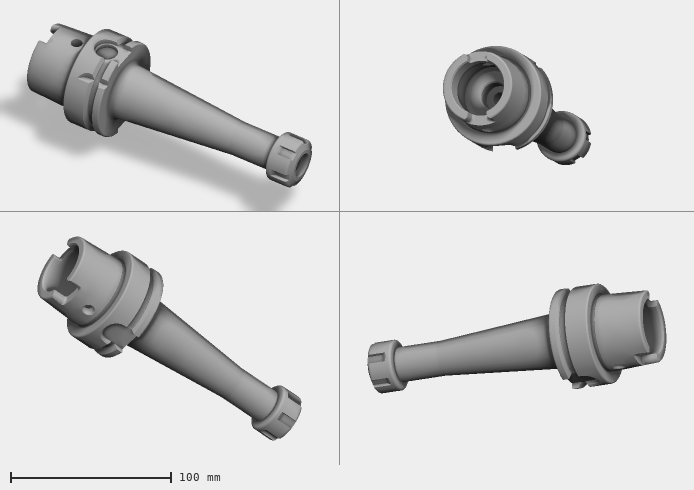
import cadquery as cq
import math


shank_length = 32.0
shank_end_radius = 22.7
taper_slope = 1 / 20
shank_end_round = 1.3
relief_length = 2.0
relief_depth = 0.5
relief_corner_round = 0.4
face_relief_radius = 25.2
face_relief_depth = 0.5

flange_radius = 31.5
flange_width = 26.0
flange_round = 1.1
groove_center = 18.05
groove_mouth_half = 3.4
groove_floor_half = 1.75
groove_floor_radius = 27.5
groove_wall_top_radius = 28.6
groove_corner_round = 0.5

arbor_root_radius = 17.8
arbor_root_round = 2.7
arbor_radius = 11.0
cone_end = 109.1
cone_blend_radius = 15.0
overall_end = 155.58

bore_mouth_radius = 17.7
bore_mouth_depth = 1.2
bore_lip_radius = 17.0
bore_lip_depth = 12.6
bore_radius = 18.0
bore_floor_radius = 15.7
bore_depth = 34.0
tube_seat_radius = 8.4
tube_seat_chamfer = 0.9
tube_seat_depth = 12.0
through_radius = 4.2
through_chamfer = 0.5
cross_hole_radius = 3.6
cross_hole_chamfer = 0.6
cross_hole_x = 22.8 - shank_length

drive_slot_half = 6.27
drive_slot_depths = {1: 6.0, -1: 9.9}
drive_slot_flare_start = 18.0
drive_slot_flare_radius = 3.0
drive_slot_floor_round = 1.6

pocket_center_x = 13.0
keyway_half = 8.0
keyway_floor = 26.5
keyway_chamfer = 1.15
chip_pocket_radius = 6.85
chip_pocket_depth = 2.7
notch_offset = 20.1
notch_cutter_radius = 8.0

nut_length = 17.5
nut_radius = 16.0
nut_back_round = 1.7
nut_front_round = 2.0
nut_front_round_start = 13.9
nut_front_turn = math.radians(60)
nut_face_radius = 10.5
nut_opening_radius = 8.0
nut_lip = 5.0
nut_slot_count = 6
nut_slot_floor_width = 5.1
nut_slot_mouth_width = 5.9
nut_slot_floor = 13.5
nut_slot_start = 3.4
nut_slot_ramp = 2.9
neck_width = 0.8
neck_radius = 9.7

nut_start = overall_end - nut_length
nut_bore_end = overall_end - nut_lip
clearance = 5.0
margin = 0.1


def revolve_about_x(profile):
    return profile.close().revolve(360, (0, 0, 0), (1, 0, 0))


def turned_body():
    """Outside of the holder as one turned solid."""
    relief_start_radius = shank_end_radius + taper_slope * (shank_length - relief_length)
    relief_radius = relief_start_radius - relief_depth
    groove_left = groove_center - groove_floor_half
    groove_right = groove_center + groove_floor_half

    cone_start = flange_width + arbor_root_round
    cone_angle = math.atan((arbor_root_radius - arbor_radius) / (cone_end - cone_start))
    tangent = cone_blend_radius * math.tan(cone_angle / 2)
    blend_start = (cone_end - tangent * math.cos(cone_angle), arbor_radius + tangent * math.sin(cone_angle))

    profile = (
        cq.Workplane("XY")
        .moveTo(-shank_length, 0)
        .lineTo(-shank_length, shank_end_radius - shank_end_round)
        .radiusArc((-shank_length + shank_end_round, shank_end_radius + taper_slope * shank_end_round),
                   shank_end_round)
        .lineTo(-relief_length, relief_start_radius)
        .lineTo(-relief_length + relief_depth, relief_radius)
        .lineTo(face_relief_depth - relief_corner_round, relief_radius)
        .radiusArc((face_relief_depth, relief_radius + relief_corner_round), -relief_corner_round)
        .lineTo(face_relief_depth, face_relief_radius - face_relief_depth)
        .lineTo(0, face_relief_radius)
        .lineTo(0, flange_radius - flange_round)
        .radiusArc((flange_round, flange_radius), flange_round)
        .lineTo(groove_center - groove_mouth_half, flange_radius)
        .lineTo(groove_left, groove_wall_top_radius)
        .lineTo(groove_left, groove_floor_radius + groove_corner_round)
        .radiusArc((groove_left + groove_corner_round, groove_floor_radius), -groove_corner_round)
        .lineTo(groove_right - groove_corner_round, groove_floor_radius)
        .radiusArc((groove_right, groove_floor_radius + groove_corner_round), -groove_corner_round)
        .lineTo(groove_right, groove_wall_top_radius)
        .lineTo(groove_center + groove_mouth_half, flange_radius)
        .lineTo(flange_width - flange_round, flange_radius)
        .radiusArc((flange_width, flange_radius - flange_round), flange_round)
        .lineTo(flange_width, arbor_root_radius + arbor_root_round)
        .radiusArc((cone_start, arbor_root_radius), -arbor_root_round)
        .lineTo(*blend_start)
        .radiusArc((cone_end + tangent, arbor_radius), -cone_blend_radius)
        .lineTo(nut_start - neck_width, arbor_radius)
        .lineTo(nut_start - neck_width, neck_radius)
        .lineTo(nut_start, neck_radius)
        .lineTo(nut_start, arbor_radius)
        .lineTo(nut_bore_end, arbor_radius)
        .lineTo(nut_bore_end, 0)
    )
    return revolve_about_x(profile)


def axial_bore():
    """Hollow of the shank, coolant tube seat and the through hole."""
    bore_floor = bore_depth - shank_length
    seat_floor = bore_floor + tube_seat_depth
    profile = (
        cq.Workplane("XY")
        .moveTo(-shank_length, 0)
        .lineTo(-shank_length, bore_mouth_radius)
        .lineTo(-shank_length + bore_mouth_depth, bore_lip_radius)
        .lineTo(-shank_length + bore_lip_depth, bore_lip_radius)
        .lineTo(-shank_length + bore_lip_depth, bore_radius)
        .lineTo(bore_floor - (bore_radius - bore_floor_radius), bore_radius)
        .lineTo(bore_floor, bore_floor_radius)
        .lineTo(bore_floor, tube_seat_radius + tube_seat_chamfer)
        .lineTo(bore_floor + tube_seat_chamfer, tube_seat_radius)
        .lineTo(seat_floor, tube_seat_radius)
        .lineTo(seat_floor, through_radius + through_chamfer)
        .lineTo(seat_floor + through_chamfer, through_radius)
        .lineTo(nut_bore_end, through_radius)
        .lineTo(nut_bore_end, 0)
    )
    return revolve_about_x(profile)


def cross_hole(side):
    """Hole through the shank wall on one Z side, with a countersunk mouth."""
    surface = shank_end_radius + taper_slope * (cross_hole_x + shank_length)
    hole = cq.Workplane("XY").center(cross_hole_x, 0).circle(cross_hole_radius).extrude(side * flange_radius)
    mouth = (
        cq.Workplane("XY", origin=(cross_hole_x, 0, side * (surface - cross_hole_chamfer)))
        .circle(cross_hole_radius)
        .workplane(offset=side * 2 * cross_hole_chamfer)
        .circle(cross_hole_radius + 2 * cross_hole_chamfer)
        .loft()
    )
    return hole.union(mouth)


def drive_slot(side):
    """Open slot in the shank end whose walls round outward near the outside."""
    depth = drive_slot_depths[side]
    flare_half = drive_slot_half + drive_slot_flare_radius
    flare_height = drive_slot_flare_start + drive_slot_flare_radius
    top = flare_height + clearance
    slot = (
        cq.Workplane("YZ", origin=(-shank_length - clearance, 0, 0))
        .moveTo(-drive_slot_half, 0)
        .lineTo(-drive_slot_half, drive_slot_flare_start)
        .radiusArc((-flare_half, flare_height), -drive_slot_flare_radius)
        .lineTo(-flare_half, top)
        .lineTo(flare_half, top)
        .lineTo(flare_half, flare_height)
        .radiusArc((drive_slot_half, drive_slot_flare_start), -drive_slot_flare_radius)
        .lineTo(drive_slot_half, 0)
        .close()
        .extrude(depth + clearance)
    )
    floor_sides = cq.selectors.BoxSelector(
        (-shank_length + depth - margin, -flare_half, margin),
        (-shank_length + depth + margin, flare_half, flare_height - margin),
    )
    slot = slot.edges(floor_sides).fillet(drive_slot_floor_round)
    if side < 0:
        slot = slot.mirror("XY")
    return slot


def keyway(side):
    """Round-ended flat keyway across the flange, open toward the arbor."""
    length = flange_width - pocket_center_x + clearance
    floor = cq.Workplane("XY", origin=(pocket_center_x, 0, side * keyway_floor))
    height = side * (flange_radius - keyway_floor + clearance)
    round_end = floor.circle(keyway_half).extrude(height)
    straight = floor.center(length / 2, 0).rect(length, 2 * keyway_half).extrude(height)
    return round_end.union(straight)


def chamfer_keyway_end(body, side):
    """Bevel the rim of the keyway where it runs into the wide part of the flange."""
    heights = sorted((side * groove_wall_top_radius, side * (flange_radius + margin)))
    rim = cq.selectors.BoxSelector(
        (pocket_center_x - keyway_half - margin, -keyway_half - margin, heights[0]),
        (groove_center - groove_mouth_half - margin, keyway_half + margin, heights[1]),
    )
    return body.edges(rim).chamfer(keyway_chamfer)


def chip_pocket():
    return (
        cq.Workplane("XY", origin=(pocket_center_x, 0, keyway_floor - chip_pocket_depth))
        .circle(chip_pocket_radius)
        .extrude(chip_pocket_depth + clearance)
    )


def orientation_notch():
    """L-shaped notch on the -Y +Z quarter of the flange, ended by the round of its cutter."""
    path_y = -notch_offset - notch_cutter_radius
    length = flange_width - pocket_center_x + clearance
    plane = cq.Workplane("XY", origin=(pocket_center_x, path_y, notch_offset))
    round_end = plane.circle(notch_cutter_radius).extrude(flange_radius)
    straight = plane.center(length / 2, 0).rect(length, 2 * notch_cutter_radius).extrude(flange_radius)
    return round_end.union(straight)


def make_holder():
    body = turned_body()
    for side in (1, -1):
        body = body.cut(keyway(side))
        body = chamfer_keyway_end(body, side)
    body = body.cut(chip_pocket()).cut(orientation_notch()).cut(axial_bore())
    for side in (1, -1):
        body = body.cut(drive_slot(side)).cut(cross_hole(side))
    return body


def nut_slot():
    """Wrench slot on the -Y side: leaning walls, and a ramp from the outside to a flat floor."""
    depth = nut_radius - nut_slot_floor
    start = nut_start + nut_slot_start
    side_outline = (
        cq.Workplane("XY")
        .moveTo(start, -nut_radius)
        .lineTo(start + nut_slot_ramp, -nut_slot_floor)
        .lineTo(overall_end, -nut_slot_floor)
        .lineTo(overall_end, -nut_radius)
        .close()
        .extrude(nut_slot_mouth_width, both=True)
    )
    cross_section = (
        cq.Workplane("XZ", origin=(start, -nut_slot_floor, 0))
        .center(nut_length / 2, 0)
        .rect(nut_length, nut_slot_floor_width)
        .workplane(offset=depth)
        .rect(nut_length, nut_slot_mouth_width)
        .loft()
    )
    return side_outline.intersect(cross_section)


def make_nut():
    """Slotted clamping nut around the spigot, with a lip closing over its end."""
    round_end = (
        nut_start + nut_front_round_start + nut_front_round * math.sin(nut_front_turn),
        nut_radius - nut_front_round * (1 - math.cos(nut_front_turn)),
    )
    profile = (
        cq.Workplane("XY")
        .moveTo(nut_start, arbor_radius)
        .lineTo(nut_start, nut_radius - nut_back_round)
        .radiusArc((nut_start + nut_back_round, nut_radius), nut_back_round)
        .lineTo(nut_start + nut_front_round_start, nut_radius)
        .radiusArc(round_end, nut_front_round)
        .lineTo(overall_end, nut_face_radius)
        .lineTo(overall_end, nut_opening_radius)
        .lineTo(nut_bore_end, nut_opening_radius)
        .lineTo(nut_bore_end, arbor_radius)
    )
    nut = revolve_about_x(profile)
    for index in range(nut_slot_count):
        nut = nut.cut(nut_slot().rotate((0, 0, 0), (1, 0, 0), index * 360 / nut_slot_count))
    return nut


holder = make_holder()
nut = make_nut()
result = cq.Compound.makeCompound([holder.val(), nut.val()])